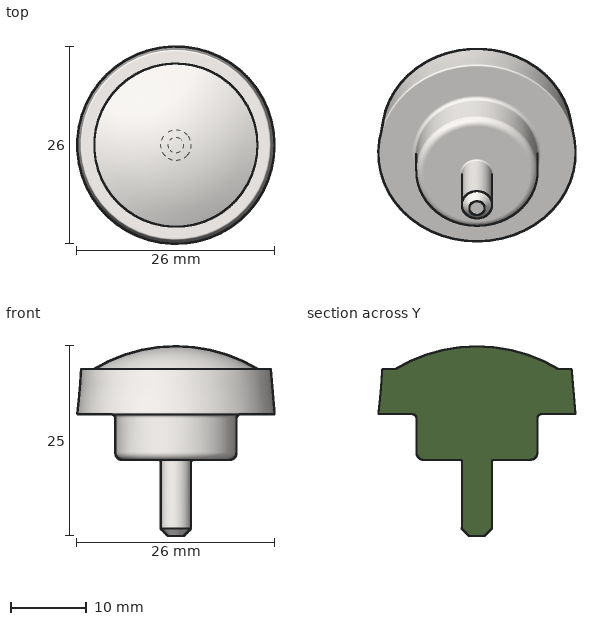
import cadquery as cq
import math

pin_length = 10.0
hub_height = 6.0
head_height = 6.0
dome_height = 3.0

pin_diameter = 4.0
hub_diameter = 16.0
head_diameter = 26.0
head_top_diameter = 25.0
dome_diameter = 21.48

tip_chamfer = 1.0
pin_root_fillet = 0.2
hub_bottom_fillet = 1.0
hub_root_fillet = 0.5
head_edge_fillet = 0.2

hub_bottom = pin_length
head_bottom = hub_bottom + hub_height
head_top = head_bottom + head_height
dome_top = head_top + dome_height

dome_radius = dome_diameter / 2
sphere_radius = (dome_radius**2 + dome_height**2) / (2 * dome_height)

side_taper = math.atan((head_diameter - head_top_diameter) / 2 / head_height)
rim_trim = head_edge_fillet * (1 / math.tan((math.pi / 2 - side_taper) / 2) - 1)
head_corner_radius = head_diameter / 2 + rim_trim


def make_pin():
    """Round pin with a chamfered tip."""
    pin = cq.Workplane("XY").circle(pin_diameter / 2).extrude(pin_length)
    return pin.faces("<Z").chamfer(tip_chamfer)


def make_hub():
    """Cylindrical hub with a rounded lower edge."""
    hub = cq.Workplane("XY", origin=(0, 0, hub_bottom)).circle(hub_diameter / 2).extrude(hub_height)
    return hub.faces("<Z").edges().fillet(hub_bottom_fillet)


def make_head():
    """Head that narrows upward, with both rims rounded."""
    profile = (
        cq.Workplane("XZ")
        .moveTo(0, head_bottom)
        .lineTo(head_corner_radius, head_bottom)
        .lineTo(head_top_diameter / 2, head_top)
        .lineTo(0, head_top)
        .close()
    )
    head = profile.revolve(360, (0, 0, 0), (0, 1, 0))
    return head.faces("<Z or >Z").edges().fillet(head_edge_fillet)


def make_dome():
    """Spherical cap on top of the head."""
    profile = (
        cq.Workplane("XZ")
        .moveTo(0, head_top)
        .lineTo(dome_radius, head_top)
        .radiusArc((0, dome_top), -sphere_radius)
        .close()
    )
    return profile.revolve(360, (0, 0, 0), (0, 1, 0))


def fillet_root(body, diameter, level, fillet_radius):
    """Round the inside corner at a level where a cylinder meets the flat face above it."""
    reach = diameter / 2 + fillet_radius / 2
    half_band = fillet_radius / 2
    corner = cq.selectors.BoxSelector(
        (-reach, -reach, level - half_band),
        (reach, reach, level + half_band),
        boundingbox=True,
    )
    return body.edges(corner).fillet(fillet_radius)


result = make_pin().union(make_hub()).union(make_head()).union(make_dome())
result = fillet_root(result, pin_diameter, hub_bottom, pin_root_fillet)
result = fillet_root(result, hub_diameter, head_bottom, hub_root_fillet)